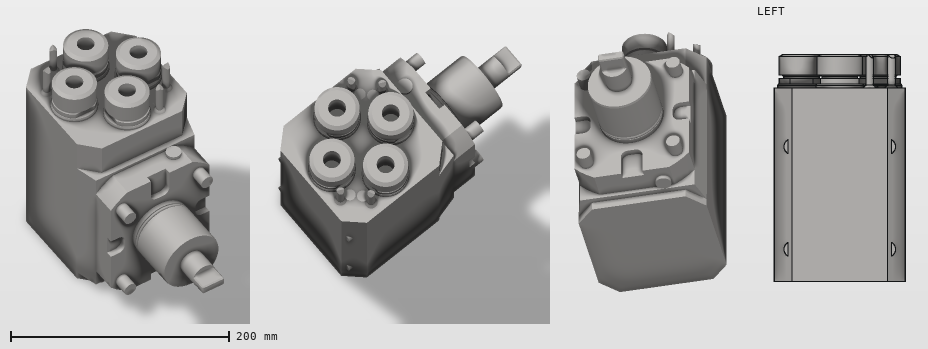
import cadquery as cq
import math

HOUSING_SIZE = 120.0
HOUSING_HEIGHT = 177.5
CORNER_BEVEL_X = 17.0
CORNER_BEVEL_Y = 16.1
TOTAL_HEIGHT = 208.2
HOUSING_HALF = HOUSING_SIZE / 2
HOUSING_CENTRE_X = HOUSING_HALF

AXIS_Z = 76.6

ADAPTER_START_X = 102.7
ADAPTER_HALF_HEIGHT = 68.7
ADAPTER_SEAT_HALF_HEIGHT = 62.7

PLATE_START_X = 125.5
PLATE_END_X = 150.6
PLATE_HALF_WIDTH = 53.7
PLATE_HALF_HEIGHT = 65.0
PLATE_OUTLINE_RADIUS = 74.0
PAD_X = 133.0
PAD_Y = 26.0
PAD_RADIUS = 7.2

KEY_SLOT_DEPTH_X = 6.3
KEY_SLOT_WIDTH = 20.2
KEY_SLOT_CORNER_RADIUS = 6.7
KEY_SLOT_INNER_RADIUS = 38.5

STUD_Y = 42.0
FASTENER_Z = 47.0
STUD_RADIUS = 12.8 / 2
STUD_LENGTH = 14.7
SCREW_HEAD_Y = 43.9
SCREW_HEAD_RADIUS = 7.2
SCREW_HEAD_START_X = 3.5
SCREW_HEAD_LENGTH = 12.0

BOSS_RADIUS = 60.0 / 2
BOSS_END_X = 203.5
BOSS_CHAMFER_LENGTH = 2.2
BOSS_CHAMFER_DEPTH = 0.5
GROOVE_START_X = 155.2
GROOVE_END_X = 159.3
GROOVE_DEPTH = 3.0
SEAL_RADIUS = 1.5

SHAFT_RADIUS = 24.3 / 2
SHAFT_END_X = 225.3
TONGUE_END_X = 241.0
TONGUE_HALF_THICKNESS = 8.5 / 2
TONGUE_ROOT_RADIUS = 2.0
TONGUE_BEVEL_REACH = 29.6 / 2
TIP_CHAMFER_LENGTH = 1.5
TIP_CHAMFER_DEPTH = 0.85

COUPLING_CIRCLE_RADIUS = 35.0
COUPLING_HEIGHT = TOTAL_HEIGHT - HOUSING_HEIGHT
COUPLING_RADIUS = 20.7
FLANGE_RADIUS = 22.0
FLANGE_HEIGHT = 3.5
FLANGE_CHAMFER_HEIGHT = 1.7
FLANGE_CHAMFER_DEPTH = 0.7
NUT_TOP = 8.7
NUT_HALF_FLATS = 17.8
NECK_RADIUS = 16.5
NECK_TOP = 11.5
NECK_CONE_HEIGHT = 1.2
NECK_CONE_DEPTH = 1.5
HEAD_CHAMFER_HEIGHT = 2.2
HEAD_CHAMFER_DEPTH = 3.5
BORE_RADIUS = 8.2

PIN_CIRCLE_RADIUS = 54.7
PIN_ANGLE = 30.0
PIN_RADIUS = 7.0 / 2
PIN_FOOT_RADIUS = 11.8 / 2
PIN_FOOT_HEIGHT = 2.7
PIN_RIDGE_TURN = 25.0
PLUG_CIRCLE_RADIUS = 48.7
PLUG_ANGLE = 38.0
PLUG_TOP_RADIUS = 5.3
PLUG_BASE_RADIUS = 3.0
PLUG_HEIGHT = 2.5


def cylinder_x(radius, start_x, end_x, y=0.0, z=AXIS_Z):
    """Cylinder along X between two stations."""
    return cq.Workplane("YZ", origin=(start_x, y, z)).circle(radius).extrude(end_x - start_x)


def cylinder_z(radius, start_z, end_z, x, y):
    """Upright cylinder between two heights."""
    return cq.Workplane("XY", origin=(x, y, start_z)).circle(radius).extrude(end_z - start_z)


def make_housing():
    near_x = HOUSING_HALF - CORNER_BEVEL_X
    near_y = HOUSING_HALF - CORNER_BEVEL_Y
    outline = [
        (near_x, HOUSING_HALF), (HOUSING_HALF, near_y),
        (HOUSING_HALF, -near_y), (near_x, -HOUSING_HALF),
        (-near_x, -HOUSING_HALF), (-HOUSING_HALF, -near_y),
        (-HOUSING_HALF, near_y), (-near_x, HOUSING_HALF),
    ]
    base = cq.Workplane("XY", origin=(HOUSING_CENTRE_X, 0, 0))
    return base.polyline(outline).close().extrude(HOUSING_HEIGHT)


def make_adapter():
    outline = [
        (ADAPTER_START_X, -HOUSING_HALF), (PLATE_START_X, -PLATE_HALF_WIDTH),
        (PLATE_START_X, PLATE_HALF_WIDTH), (ADAPTER_START_X, HOUSING_HALF),
    ]
    base = cq.Workplane("XY", origin=(0, 0, AXIS_Z))
    return base.polyline(outline).close().extrude(ADAPTER_HALF_HEIGHT, both=True)


def trim_housing_at_seat(housing):
    """Trim the housing flush with the adapter flanks over the seat height."""
    for side in (-1, 1):
        outline = [
            (ADAPTER_START_X, side * HOUSING_HALF),
            (PLATE_START_X, side * PLATE_HALF_WIDTH),
            (PLATE_START_X, side * HOUSING_HALF),
        ]
        base = cq.Workplane("XY", origin=(0, 0, AXIS_Z))
        housing = housing.cut(base.polyline(outline).close().extrude(ADAPTER_SEAT_HALF_HEIGHT, both=True))
    return housing


def make_key_slot():
    """Cutter for the slot in the +Y side, with rounded inner corners."""
    length = PLATE_HALF_HEIGHT
    start_x = PLATE_END_X - KEY_SLOT_DEPTH_X
    blank = cq.Workplane("YZ", origin=(start_x, KEY_SLOT_INNER_RADIUS + length / 2, AXIS_Z))
    blank = blank.rect(length, KEY_SLOT_WIDTH).extrude(KEY_SLOT_DEPTH_X)
    return blank.edges("|X and <Y").fillet(KEY_SLOT_CORNER_RADIUS)


def make_plate():
    plate = cq.Workplane("YZ", origin=(PLATE_START_X, 0, AXIS_Z))
    plate = plate.rect(2 * PLATE_HALF_WIDTH, 2 * PLATE_HALF_HEIGHT).extrude(PLATE_END_X - PLATE_START_X)
    plate = plate.intersect(cylinder_x(PLATE_OUTLINE_RADIUS, PLATE_START_X, PLATE_END_X))
    slot = make_key_slot()
    for quarter in range(4):
        plate = plate.cut(slot.rotate((0, 0, AXIS_Z), (1, 0, AXIS_Z), 90 * quarter))
    pads = cylinder_z(PAD_RADIUS, AXIS_Z - ADAPTER_HALF_HEIGHT, AXIS_Z + ADAPTER_HALF_HEIGHT, PAD_X, PAD_Y)
    return plate.union(pads)


def make_spindle():
    """Turned boss and drive shaft; the boss groove holds a round seal ring against its first wall."""
    groove_floor = BOSS_RADIUS - GROOVE_DEPTH
    seal_centre = BOSS_RADIUS - SEAL_RADIUS
    seal_end_x = GROOVE_START_X + 2 * SEAL_RADIUS
    spindle = (
        cq.Workplane("XY", origin=(0, 0, AXIS_Z))
        .moveTo(PLATE_START_X, 0)
        .lineTo(PLATE_START_X, BOSS_RADIUS)
        .lineTo(GROOVE_START_X, BOSS_RADIUS)
        .lineTo(GROOVE_START_X, seal_centre)
        .threePointArc((GROOVE_START_X + SEAL_RADIUS, BOSS_RADIUS), (seal_end_x, seal_centre))
        .lineTo(seal_end_x, groove_floor)
        .lineTo(GROOVE_END_X, groove_floor)
        .lineTo(GROOVE_END_X, BOSS_RADIUS)
        .lineTo(BOSS_END_X - BOSS_CHAMFER_LENGTH, BOSS_RADIUS)
        .lineTo(BOSS_END_X, BOSS_RADIUS - BOSS_CHAMFER_DEPTH)
        .lineTo(BOSS_END_X, SHAFT_RADIUS)
        .lineTo(SHAFT_END_X, SHAFT_RADIUS)
        .lineTo(SHAFT_END_X, 0)
        .close()
    )
    return spindle.revolve(360, (0, 0, 0), (1, 0, 0))


def make_tongue():
    half = TONGUE_HALF_THICKNESS
    root = TONGUE_ROOT_RADIUS
    arc_drop = root * (1 - math.sqrt(0.5))
    chamfer_x = TONGUE_END_X - TIP_CHAMFER_LENGTH
    tip_half = half - TIP_CHAMFER_DEPTH
    slab = (
        cq.Workplane("XZ", origin=(0, 0, AXIS_Z))
        .moveTo(SHAFT_END_X, half + root)
        .threePointArc((SHAFT_END_X + arc_drop, half + arc_drop), (SHAFT_END_X + root, half))
        .lineTo(chamfer_x, half)
        .lineTo(TONGUE_END_X, tip_half)
        .lineTo(TONGUE_END_X, -tip_half)
        .lineTo(chamfer_x, -half)
        .lineTo(SHAFT_END_X + root, -half)
        .threePointArc((SHAFT_END_X + arc_drop, -half - arc_drop), (SHAFT_END_X, -half - root))
        .close()
        .extrude(SHAFT_RADIUS, both=True)
    )
    bar_profile = [
        (SHAFT_END_X, 0), (SHAFT_END_X, SHAFT_RADIUS), (chamfer_x, SHAFT_RADIUS),
        (TONGUE_END_X, SHAFT_RADIUS - TIP_CHAMFER_DEPTH), (TONGUE_END_X, 0),
    ]
    bar = cq.Workplane("XY", origin=(0, 0, AXIS_Z)).polyline(bar_profile).close()
    bar = bar.revolve(360, (0, 0, 0), (1, 0, 0))
    reach = TONGUE_BEVEL_REACH
    diamond = cq.Workplane("YZ", origin=(SHAFT_END_X, 0, AXIS_Z))
    diamond = diamond.polyline([(reach, 0), (0, reach), (-reach, 0), (0, -reach)]).close()
    diamond = diamond.extrude(TONGUE_END_X - SHAFT_END_X)
    return slab.intersect(bar).intersect(diamond)


def make_coupling():
    """Coupling on the Z axis, standing on z = 0, with wrench flats facing Y."""
    profile = [
        (BORE_RADIUS, 0), (FLANGE_RADIUS, 0),
        (FLANGE_RADIUS, FLANGE_HEIGHT - FLANGE_CHAMFER_HEIGHT),
        (FLANGE_RADIUS - FLANGE_CHAMFER_DEPTH, FLANGE_HEIGHT),
        (COUPLING_RADIUS, FLANGE_HEIGHT), (COUPLING_RADIUS, NUT_TOP),
        (NECK_RADIUS, NUT_TOP), (NECK_RADIUS, NECK_TOP - NECK_CONE_HEIGHT),
        (NECK_RADIUS + NECK_CONE_DEPTH, NECK_TOP), (COUPLING_RADIUS, NECK_TOP),
        (COUPLING_RADIUS, COUPLING_HEIGHT - HEAD_CHAMFER_HEIGHT),
        (COUPLING_RADIUS - HEAD_CHAMFER_DEPTH, COUPLING_HEIGHT),
        (BORE_RADIUS, COUPLING_HEIGHT),
    ]
    coupling = cq.Workplane("XZ").polyline(profile).close().revolve(360, (0, 0, 0), (0, 1, 0))
    flat_depth = COUPLING_RADIUS - NUT_HALF_FLATS
    flat_centre = NUT_HALF_FLATS + flat_depth / 2
    flats = cq.Workplane("XY", origin=(0, 0, FLANGE_HEIGHT))
    flats = flats.pushPoints([(0, flat_centre), (0, -flat_centre)]).rect(2 * COUPLING_RADIUS, flat_depth)
    return coupling.cut(flats.extrude(NUT_TOP - FLANGE_HEIGHT))


def make_pin():
    """Pin on the Z axis with a conical foot and a 45 degree roof ridged along X."""
    shoulder = COUPLING_HEIGHT - PIN_RADIUS
    profile = [
        (0, 0), (PIN_FOOT_RADIUS, 0), (PIN_RADIUS, PIN_FOOT_HEIGHT),
        (PIN_RADIUS, COUPLING_HEIGHT), (0, COUPLING_HEIGHT),
    ]
    pin = cq.Workplane("XZ").polyline(profile).close().revolve(360, (0, 0, 0), (0, 1, 0))
    for side in (-1, 1):
        waste = [(0, COUPLING_HEIGHT), (side * PIN_RADIUS, shoulder), (side * PIN_RADIUS, COUPLING_HEIGHT)]
        pin = pin.cut(cq.Workplane("YZ").polyline(waste).close().extrude(PIN_RADIUS, both=True))
    return pin


def make_plug():
    """Plug on the Z axis, flaring upward to a flat top."""
    profile = [(0, 0), (PLUG_BASE_RADIUS, 0), (PLUG_TOP_RADIUS, PLUG_HEIGHT), (0, PLUG_HEIGHT)]
    return cq.Workplane("XZ").polyline(profile).close().revolve(360, (0, 0, 0), (0, 1, 0))


def on_housing_top(shape, radius, angle):
    """Move a shape onto the housing top at a polar position about its centre."""
    x = HOUSING_CENTRE_X + radius * math.cos(math.radians(angle))
    y = radius * math.sin(math.radians(angle))
    return shape.translate((x, y, HOUSING_HEIGHT))


def add_couplings(body):
    coupling = make_coupling()
    for angle in (0, 90, 180, 270):
        turned = coupling.rotate((0, 0, 0), (0, 0, 1), angle)
        body = body.union(on_housing_top(turned, COUPLING_CIRCLE_RADIUS, angle))
    return body


def add_pins_and_plugs(body):
    pin = make_pin()
    plug = make_plug()
    for half_turn in (0, 180):
        placements = [
            (PIN_ANGLE, PLUG_ANGLE, -PIN_RIDGE_TURN),
            (90 - PIN_ANGLE, 90 - PLUG_ANGLE, PIN_RIDGE_TURN - 90),
        ]
        for pin_angle, plug_angle, ridge_angle in placements:
            turned = pin.rotate((0, 0, 0), (0, 0, 1), ridge_angle)
            body = body.union(on_housing_top(turned, PIN_CIRCLE_RADIUS, pin_angle + half_turn))
            body = body.union(on_housing_top(plug, PLUG_CIRCLE_RADIUS, plug_angle + half_turn))
    return body


def add_fasteners(body):
    head_end_x = SCREW_HEAD_START_X + SCREW_HEAD_LENGTH
    stud_end_x = PLATE_END_X + STUD_LENGTH
    for side in (-1, 1):
        for z in (AXIS_Z - FASTENER_Z, AXIS_Z + FASTENER_Z):
            stud = cylinder_x(STUD_RADIUS, PLATE_START_X, stud_end_x, side * STUD_Y, z)
            head = cylinder_x(SCREW_HEAD_RADIUS, SCREW_HEAD_START_X, head_end_x, side * SCREW_HEAD_Y, z)
            body = body.union(stud).union(head)
    return body


body = trim_housing_at_seat(make_housing())
for section in (make_adapter(), make_plate(), make_spindle(), make_tongue()):
    body = body.union(section)
body = add_fasteners(body)
body = add_couplings(body)
result = add_pins_and_plugs(body)